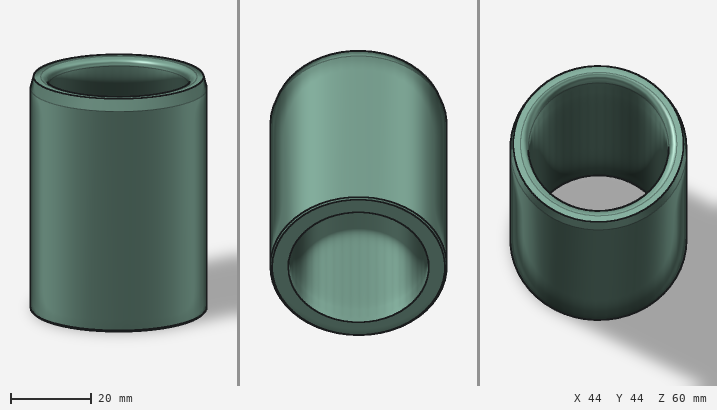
import cadquery as cq
import math

length = 60.0
outer_diameter = 44.0
bore_diameter = 35.0

taper_height = 3.0
taper_angle = 15.0
taper_inset = taper_height * math.tan(math.radians(taper_angle))

bore_mouth_radius = 2.0
bottom_chamfer = 0.5

outer_radius = outer_diameter / 2
bore_radius = bore_diameter / 2

round_centre_x = bore_radius + bore_mouth_radius
round_centre_z = length - bore_mouth_radius
round_offset = bore_mouth_radius * math.sqrt(0.5)

wall_section = (
    cq.Workplane("XZ")
    .moveTo(bore_radius, 0)
    .lineTo(outer_radius - bottom_chamfer, 0)
    .lineTo(outer_radius, bottom_chamfer)
    .lineTo(outer_radius, length - taper_height)
    .lineTo(outer_radius - taper_inset, length)
    .lineTo(round_centre_x, length)
    .threePointArc(
        (round_centre_x - round_offset, round_centre_z + round_offset),
        (bore_radius, round_centre_z),
    )
    .close()
)

result = wall_section.revolve(360, (0, 0, 0), (0, 1, 0))